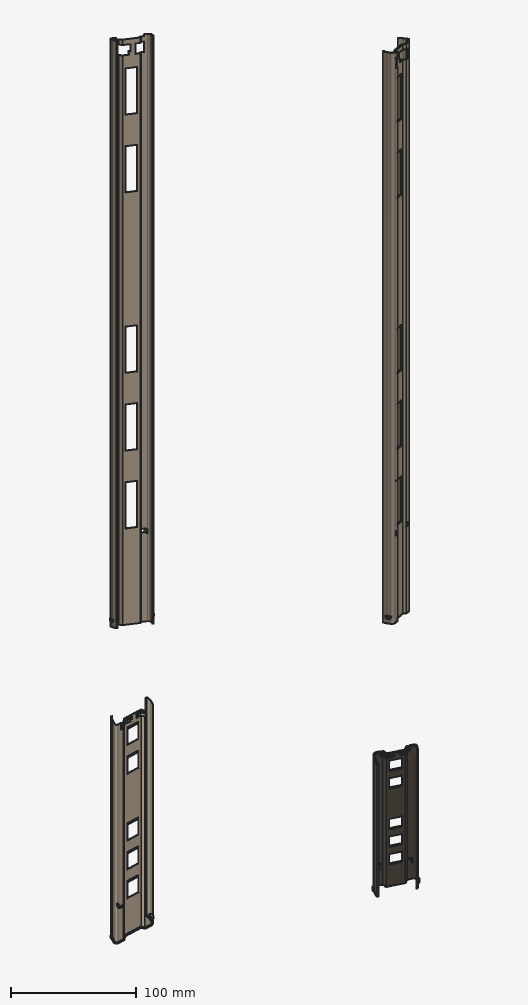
import cadquery as cq
import math

length = 483.0
depth = 9.82
dome_span = 38.79
body_half = 18.0
sheet = 1.2
x_back = -depth / 2
z_base = -length / 2

corner_radius = 2.9
flange_bend_x = 5.6
flange_lean = math.radians(3)
lip_drop = 1.3
step_depth = 2.4
step_outer_y = 9.35
step_inner_y = 7.25
web_depth = (0, step_depth + sheet)

slot_length = 38.0
slot_width = 10.2
slot_pitch = 64.0
lowest_slot = 98.2
lower_slot_count = 3
upper_slot_gap = 148.4
upper_slot_count = 2

window_half = 12.4
bar_top = length - 1.5
bar_bottom = length - 5.9
window_bottom = length - 14.5
stem_left = 3.6
stem_right = -0.7
ledge_right = -2.2
ledge_top = length - 11.6

tab_z = 75.0
tab_height = 3.0
tab_outer_y = 14.1
tab_reach = 4.4
tab_hole_inner_y = 9.9

dome_x = 4.5
dome_top = 6.6
dome_radius = 2.6


def arc_point(centre, radius, angle):
    """Point of a circle, with the angle measured from +Y towards +X."""
    return (
        centre[0] + radius * math.sin(angle),
        centre[1] + radius * math.cos(angle),
    )


def half_profile():
    """Closed section of the +Y half, with X measured from the web outer face."""
    web_angle = -math.pi / 2
    corner_middle = web_angle / 2
    corner_centre = (corner_radius, body_half - corner_radius)
    corner_inner = corner_radius - sheet

    bend_drop = (flange_bend_x - corner_radius) * math.tan(flange_lean)
    lip_run = depth - flange_bend_x
    lip_end = 2 * math.atan2(lip_drop, lip_run) - flange_lean
    lip_radius = lip_run / (math.sin(lip_end) - math.sin(flange_lean))
    lip_centre = (
        flange_bend_x - lip_radius * math.sin(flange_lean),
        body_half - bend_drop - lip_radius * math.cos(flange_lean),
    )
    lip_middle = (flange_lean + lip_end) / 2

    lip_inner = lip_radius - sheet
    lip_inner_end = math.asin((depth - lip_centre[0]) / lip_inner)
    lip_inner_middle = (flange_lean + lip_inner_end) / 2

    step_angle = math.atan2(step_depth, step_outer_y - step_inner_y)
    step_shift = sheet * math.tan(step_angle / 2)
    return (
        cq.Workplane("XY", origin=(x_back, 0, z_base))
        .moveTo(step_depth, 0)
        .lineTo(step_depth, step_inner_y)
        .lineTo(0, step_outer_y)
        .lineTo(*arc_point(corner_centre, corner_radius, web_angle))
        .threePointArc(
            arc_point(corner_centre, corner_radius, corner_middle),
            arc_point(corner_centre, corner_radius, 0),
        )
        .lineTo(*arc_point(lip_centre, lip_radius, flange_lean))
        .threePointArc(
            arc_point(lip_centre, lip_radius, lip_middle),
            arc_point(lip_centre, lip_radius, lip_end),
        )
        .lineTo(*arc_point(lip_centre, lip_inner, lip_inner_end))
        .threePointArc(
            arc_point(lip_centre, lip_inner, lip_inner_middle),
            arc_point(lip_centre, lip_inner, flange_lean),
        )
        .lineTo(*arc_point(corner_centre, corner_inner, 0))
        .threePointArc(
            arc_point(corner_centre, corner_inner, corner_middle),
            arc_point(corner_centre, corner_inner, web_angle),
        )
        .lineTo(sheet, step_outer_y + step_shift)
        .lineTo(step_depth + sheet, step_inner_y + step_shift)
        .lineTo(step_depth + sheet, 0)
        .close()
    )


def block(x_range, y_range, z_range):
    """Box with X from the web outer face and Z from the rail bottom."""
    (x0, x1), (y0, y1), (z0, z1) = (sorted(r) for r in (x_range, y_range, z_range))
    return cq.Workplane("XY").box(x1 - x0, y1 - y0, z1 - z0, centered=False).translate(
        (x_back + x0, y0, z_base + z0)
    )


def slots():
    """Lower and upper groups of rectangular through slots."""
    centres = [lowest_slot + i * slot_pitch for i in range(lower_slot_count)]
    first_upper = centres[-1] + upper_slot_gap
    centres += [first_upper + i * slot_pitch for i in range(upper_slot_count)]
    cut = cq.Workplane("XY")
    for z in centres:
        z_range = (z - slot_length / 2, z + slot_length / 2)
        cut = cut.add(block(web_depth, (-slot_width / 2, slot_width / 2), z_range))
    return cut.combine()


def tongue_cut():
    """Notch above the bar and the two windows beside the stem."""
    notch = block(web_depth, (-window_half, window_half), (bar_top, length))
    left = block(web_depth, (stem_left, window_half), (window_bottom, bar_bottom))
    right = block(web_depth, (-window_half, stem_right), (window_bottom, bar_bottom))
    ledge = block(web_depth, (ledge_right, stem_right), (window_bottom, ledge_top))
    return notch.union(left).union(right.cut(ledge))


def tab_part(side, reach, inner_y):
    """Block at tab height, from inner_y out to the root of the tab."""
    z_range = (tab_z - tab_height / 2, tab_z + tab_height / 2)
    return block((0, reach), (side * inner_y, side * tab_outer_y), z_range)


def tab_hole(side):
    """Opening left in the web where the tab is bent out."""
    return tab_part(side, sheet, tab_hole_inner_y)


def tab(side):
    """Tab standing on the inside of the web, at the outer end of its hole."""
    return tab_part(side, tab_reach, tab_outer_y - sheet)


def dome(side):
    """Lower half of a spherical cap, its flat face pointing up."""
    rise = dome_span / 2 - body_half
    ball_radius = (dome_radius**2 + rise**2) / (2 * rise)
    centre = (x_back + dome_x, side * (dome_span / 2 - ball_radius), z_base + dome_top)
    ball = cq.Workplane("XY").sphere(ball_radius).translate(centre)
    keep = block(
        (dome_x - ball_radius, dome_x + ball_radius),
        (side * (body_half - sheet / 2), side * dome_span / 2),
        (dome_top - ball_radius, dome_top),
    )
    return ball.intersect(keep)


half = half_profile().extrude(length)
result = half.union(half.mirror("XZ")).cut(slots()).cut(tongue_cut())
for side in (1, -1):
    result = result.cut(tab_hole(side)).union(tab(side)).union(dome(side))